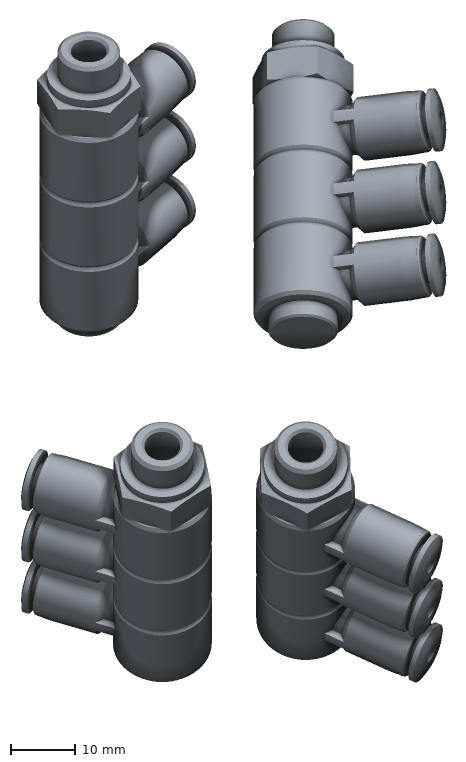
import cadquery as cq
import math

segment_count = 3
segment_pitch = 13.0
body_diameter = 15.4
segment_chamfer_height = 0.6
segment_chamfer_depth = 0.45

plug_diameter = 10.8
plug_height = 2.75
plug_chamfer = 0.3

hex_across_flats = 14.0
hex_top = 47.2
hex_chamfer_circle = 13.85
hex_corner_drop = 0.3
flange_diameter = 13.0
flange_top = 48.7
thread_diameter = 9.7
thread_chamfer = 0.55
total_height = 53.7

inlet_diameter = 5.6
inlet_chamfer = 0.45
passage_diameter = 2.4

branch_radius = 5.0
shank_radius = 3.9
shoulder_start = 8.3
shoulder_end = 9.35
branch_cylinder_end = 16.85
collar_radius = 9.7 / 2
collar_start = 18.85
sleeve_radius = 9.6 / 2
sleeve_start = 19.35
sleeve_end = 19.75
sleeve_chamfer = 0.15
neck_radius = 5.4 / 2
neck_cone_start = 20.45
neck_cone_radius = 2.85
button_radius = 4.95
button_start = 20.8
button_rim_end = 21.6
button_end = 22.2
button_flat_radius = 2.5
web_thickness = 2.0

hex_bottom = plug_height + segment_count * segment_pitch
lowest_axis = plug_height + segment_pitch / 2
branch_axes = [lowest_axis + index * segment_pitch for index in range(segment_count)]


def cylinder(diameter, bottom, top):
    """Vertical cylinder on the Z axis between two heights."""
    return cq.Workplane("XY").workplane(offset=bottom).circle(diameter / 2).extrude(top - bottom)


def body_segment(index):
    """Cylinder with conical edges, so that neighbours meet in a V groove."""
    bottom = plug_height + index * segment_pitch
    top = bottom + segment_pitch
    radius = body_diameter / 2
    edge_radius = radius - segment_chamfer_depth
    return (
        cq.Workplane("XZ")
        .moveTo(0, bottom)
        .lineTo(edge_radius, bottom)
        .lineTo(radius, bottom + segment_chamfer_height)
        .lineTo(radius, top - segment_chamfer_height)
        .lineTo(edge_radius, top)
        .lineTo(0, top)
        .close()
        .revolve(360, (0, 0), (0, 1))
    )


def hex_nut():
    """Hexagon with two corners on the Y axis and conically trimmed ends."""
    corner_diameter = hex_across_flats / math.cos(math.pi / 6)
    corner_radius = corner_diameter / 2
    prism = (
        cq.Workplane("XY")
        .workplane(offset=hex_bottom)
        .transformed(rotate=(0, 0, 90))
        .polygon(6, corner_diameter)
        .extrude(hex_top - hex_bottom)
    )
    envelope = (
        cq.Workplane("XZ")
        .moveTo(0, hex_bottom)
        .lineTo(hex_chamfer_circle / 2, hex_bottom)
        .lineTo(corner_radius, hex_bottom + hex_corner_drop)
        .lineTo(corner_radius, hex_top - hex_corner_drop)
        .lineTo(hex_chamfer_circle / 2, hex_top)
        .lineTo(0, hex_top)
        .close()
        .revolve(360, (0, 0), (0, 1))
    )
    return prism.intersect(envelope)


def branch_barrel():
    """Push-in outlet turned about the Y axis: shank, sleeve and release button."""
    button_drop = button_end - button_rim_end
    button_span = button_radius - button_flat_radius
    dome_radius = (button_span**2 + button_drop**2) / (2 * button_drop)
    half_angle = math.asin(button_span / dome_radius) / 2
    dome_middle = (
        button_flat_radius + dome_radius * math.sin(half_angle),
        button_end - dome_radius * (1 - math.cos(half_angle)),
    )
    bulge_length = collar_start - branch_cylinder_end
    bulge_middle = (
        branch_radius - (branch_radius - collar_radius) / 4,
        branch_cylinder_end + bulge_length / 2,
    )
    return (
        cq.Workplane("XY")
        .lineTo(shank_radius, 0)
        .lineTo(shank_radius, shoulder_start)
        .lineTo(branch_radius, shoulder_end)
        .lineTo(branch_radius, branch_cylinder_end)
        .threePointArc(bulge_middle, (collar_radius, collar_start))
        .lineTo(collar_radius, sleeve_start)
        .lineTo(sleeve_radius, sleeve_start)
        .lineTo(sleeve_radius, sleeve_end - sleeve_chamfer)
        .lineTo(sleeve_radius - sleeve_chamfer, sleeve_end)
        .lineTo(neck_radius, sleeve_end)
        .lineTo(neck_radius, neck_cone_start)
        .lineTo(neck_cone_radius, button_start)
        .lineTo(button_radius, button_start)
        .lineTo(button_radius, button_rim_end)
        .threePointArc(dome_middle, (button_flat_radius, button_end))
        .lineTo(0, button_end)
        .close()
        .revolve(360, (0, 0), (0, 1))
    )


def branch():
    """Barrel plus a flat web that continues its sides into the body."""
    web_slab = cq.Workplane("XY").box(
        2 * branch_radius, shoulder_end, web_thickness, centered=(True, False, True)
    )
    web_sides = cq.Workplane("XZ").circle(branch_radius).extrude(-shoulder_end)
    return branch_barrel().union(web_slab.intersect(web_sides)).clean()


def flow_passages():
    """Inlet bore, and a supply bore with a rounded lower end that feeds every outlet."""
    inlet = cylinder(inlet_diameter, hex_bottom, total_height)
    inlet_countersink = (
        cq.Workplane("XY")
        .workplane(offset=total_height)
        .circle(inlet_diameter / 2 + inlet_chamfer)
        .workplane(offset=-inlet_chamfer)
        .circle(inlet_diameter / 2)
        .loft()
    )
    supply = cylinder(passage_diameter, lowest_axis, hex_bottom)
    elbow = cq.Workplane("XY").sphere(passage_diameter / 2).translate((0, 0, lowest_axis))
    passages = inlet.union(inlet_countersink).union(supply).union(elbow)
    for axis_height in branch_axes:
        outlet = (
            cq.Workplane("XZ", origin=(0, 0, axis_height))
            .circle(passage_diameter / 2)
            .extrude(-button_end)
        )
        passages = passages.union(outlet)
    return passages


plug = cylinder(plug_diameter, 0, plug_height).faces("<Z").chamfer(plug_chamfer)
flange = cylinder(flange_diameter, hex_top, flange_top)
thread = cylinder(thread_diameter, flange_top, total_height).faces(">Z").chamfer(thread_chamfer)

result = plug.union(hex_nut()).union(flange).union(thread)
for index, axis_height in enumerate(branch_axes):
    result = result.union(body_segment(index))
    result = result.union(branch().translate((0, 0, axis_height)))
result = result.cut(flow_passages())